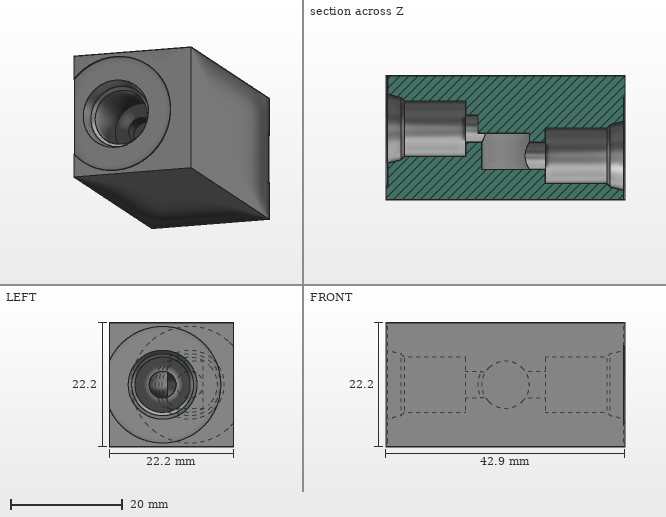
import cadquery as cq

length = 42.88
side = 22.23

spotface_diameter = 20.9
spotface_depth = 0.3
mouth_diameter = 12.35
seat_diameter = 11.1
bore_diameter = 9.9
seat_depth = 2.4
bore_lead_in = (seat_diameter - bore_diameter) / 2
bore_depth = 14.0
passage_diameter = 4.8

left_port_y = 1.6
right_port_y = -3.25

chamber_diameter = 8.5
plug_diameter = 9.9
chamber_top_y = 0.76
chamber_bottom_y = right_port_y - passage_diameter / 2


def cylinder_along_y(diameter, y_start, y_end):
    """Cylinder about the Y axis, between two Y positions."""
    plane = cq.Workplane("XZ", origin=(0, y_start, 0))
    return plane.circle(diameter / 2).extrude(y_start - y_end)


def port_cutter(port_y, end_sign):
    """Spotface, tapered seat, bore and passage, turned about an axis along X."""
    lead_in_end = seat_depth + bore_lead_in
    depth_and_diameter = [
        (0, spotface_diameter),
        (spotface_depth, spotface_diameter),
        (spotface_depth, mouth_diameter),
        (spotface_depth + seat_depth, seat_diameter),
        (spotface_depth + lead_in_end, bore_diameter),
        (spotface_depth + bore_depth, bore_diameter),
        (spotface_depth + bore_depth, passage_diameter),
        (length / 2, passage_diameter),
    ]
    profile = [(0, 0)]
    profile += [(depth, diameter / 2) for depth, diameter in depth_and_diameter]
    profile.append((length / 2, 0))
    cutter = cq.Workplane("XY").polyline(profile).close().revolve(360, (0, 0, 0), (1, 0, 0))
    if end_sign > 0:
        cutter = cutter.mirror("YZ")
    return cutter.translate((end_sign * length / 2, port_y, 0))


body = cq.Workplane("XY").box(length, side, side)
plug = cylinder_along_y(plug_diameter, chamber_top_y, side / 2)
chamber = cylinder_along_y(chamber_diameter, chamber_bottom_y, chamber_top_y)

cavity = port_cutter(left_port_y, -1).union(port_cutter(right_port_y, 1))
cavity = cavity.cut(plug).union(chamber)

result = body.cut(cavity)